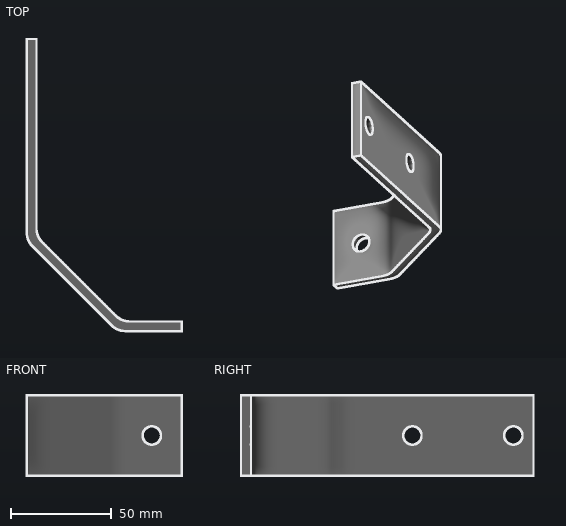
import cadquery as cq
import math

width_x = 77.0
length_y = 145.0
height = 40.0

thickness = 5.0
bend_radius = 10.0
corner_cut = 45.0

hole_diameter = 9.0
short_flange_hole_to_end = 15.0
long_flange_hole_to_end = 10.0
long_flange_hole_count = 2
long_flange_hole_spacing = 50.0


def angled_corner_prism(offset):
    """Solid behind the strip face lying `offset` inside the outer face."""
    leg_end = corner_cut + offset * (math.sqrt(2) - 1)
    bend_edges = cq.selectors.BoxSelector(
        (-thickness, -thickness, 0),
        (leg_end + thickness, leg_end + thickness, height),
    )
    return (
        cq.Workplane("XY")
        .moveTo(offset, length_y)
        .lineTo(offset, leg_end)
        .lineTo(leg_end, offset)
        .lineTo(width_x, offset)
        .lineTo(width_x, length_y)
        .close()
        .extrude(height)
        .edges("|Z")
        .edges(bend_edges)
        .fillet(bend_radius)
    )


def hole_cutter(start, direction):
    """Cylinder that passes through one flange from its outer face."""
    return cq.Workplane(
        cq.Solid.makeCylinder(hole_diameter / 2, thickness, cq.Vector(*start), cq.Vector(*direction))
    )


outer_prism = angled_corner_prism(0)
inner_prism = angled_corner_prism(thickness)
result = outer_prism.cut(inner_prism)

short_hole_x = width_x - short_flange_hole_to_end
result = result.cut(hole_cutter((short_hole_x, 0, height / 2), (0, 1, 0)))

for index in range(long_flange_hole_count):
    long_hole_y = length_y - long_flange_hole_to_end - index * long_flange_hole_spacing
    result = result.cut(hole_cutter((0, long_hole_y, height / 2), (1, 0, 0)))